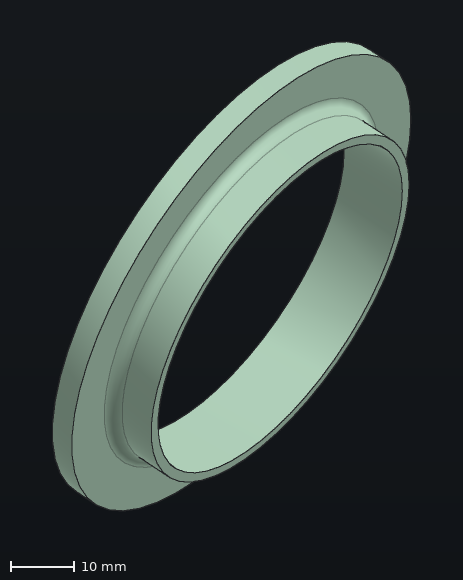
import cadquery as cq

flange_diameter = 84.0
hub_diameter = 63.9
bore_diameter = 60.5
flange_thickness = 4.0
total_length = 12.0
root_fillet_radius = 2.0

flange = cq.Workplane("YZ").circle(flange_diameter / 2).extrude(flange_thickness)
hub = cq.Workplane("YZ").circle(hub_diameter / 2).extrude(total_length)
body = flange.union(hub)

body = body.edges(cq.selectors.RadiusNthSelector(0)).edges("<X").fillet(root_fillet_radius)

bore = cq.Workplane("YZ").circle(bore_diameter / 2).extrude(total_length)
result = body.cut(bore)